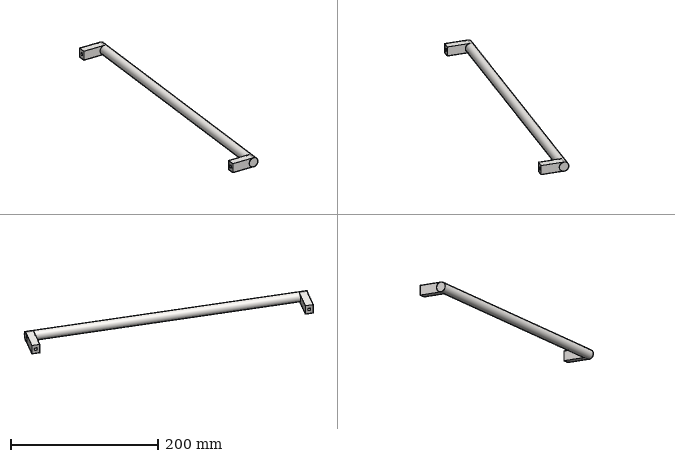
import cadquery as cq

handle_length = 396.0
handle_depth = 40.0
bar_diameter = 14.0
leg_width = 11.0
hole_spacing = 384.0
hole_diameter = 4.0
hole_depth = 16.0

bar_radius = bar_diameter / 2
leg_reach = handle_depth - bar_radius
left_end = -handle_length / 2
leg_centers = [-hole_spacing / 2, hole_spacing / 2]


def make_leg(center_x):
    """Rectangular leg from the bar axis to the mounting face."""
    return (
        cq.Workplane("XY")
        .box(leg_width, leg_reach, bar_diameter)
        .translate((center_x, -leg_reach / 2, 0))
    )


def make_screw_hole(center_x):
    """Blind hole running into a leg from its mounting face."""
    return (
        cq.Workplane("XZ", origin=(center_x, -leg_reach, 0))
        .circle(hole_diameter / 2)
        .extrude(-hole_depth)
    )


result = cq.Workplane("YZ", origin=(left_end, 0, 0)).circle(bar_radius).extrude(handle_length)
for leg_center in leg_centers:
    result = result.union(make_leg(leg_center))
    result = result.cut(make_screw_hole(leg_center))